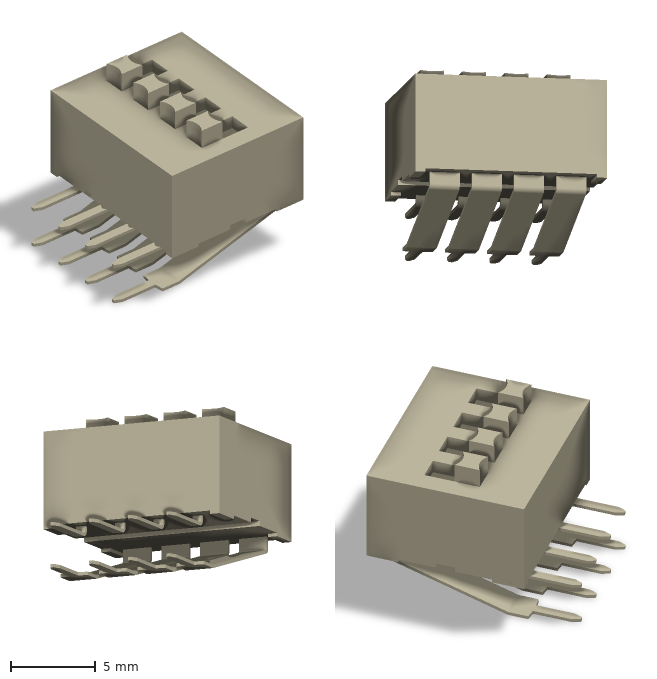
import cadquery as cq
import math

POSITIONS = 4
PITCH = 2.53

HOUSING_X = 11.52
HOUSING_Y = 9.9
HOUSING_Z = 5.88
FOOT_X = 0.6
FOOT_Y = 2.0
FOOT_HEIGHT = 0.2
CHANNEL_Y = 1.2
CHANNEL_DEPTH = 0.5

SLOT_X = 1.5
SLOT_Y = 3.48
SLOT_DEPTH = 0.85
ACTUATOR_X = 1.41
ACTUATOR_Y = 1.59
ACTUATOR_RISE = 1.19
ACTUATOR_HOLLOW = 0.25
ACTUATOR_GAP = 0.01

LEAD_THICKNESS = 0.2
LEAD_OVERHANG = 2.9
ROW_SPACING = 7.62
UPPER_BEND_RADIUS = 0.2
LOWER_BEND_RADIUS = 0.1
PIN_X = 0.6
TIP_X = 0.2
TIP_LENGTH = 0.5
UPPER_LEAD_DROP = 0.45
LOWER_LEAD_DROP = 2.97
LOWER_LEAD_SLOPE = math.radians(16.5)
LOWER_FLAT_LENGTH = 4.3
BLADE_X = 1.8
PIN_LENGTH = 2.95
SHOULDER_SLANT = 0.08

POSITION_XS = [(i - (POSITIONS - 1) / 2) * PITCH for i in range(POSITIONS)]
SLOT_FLOOR_Z = HOUSING_Z - SLOT_DEPTH
ACTUATOR_CENTER_Y = -SLOT_Y / 2 + ACTUATOR_GAP + ACTUATOR_Y / 2
LEAD_TOP_Z = FOOT_HEIGHT
LEAD_TIP_Y = -HOUSING_Y / 2 - LEAD_OVERHANG
FRONT_ROW_Y = -(ROW_SPACING - LEAD_THICKNESS) / 2
BACK_ROW_Y = (ROW_SPACING + LEAD_THICKNESS) / 2


def make_shell():
    """Block on four corner feet, with a channel across its underside and open slots in its top."""
    block = cq.Workplane("XY").box(HOUSING_X, HOUSING_Y, HOUSING_Z, centered=(True, True, False))
    gap_between_feet_x = (
        cq.Workplane("XY").rect(HOUSING_X - 2 * FOOT_X, HOUSING_Y).extrude(FOOT_HEIGHT)
    )
    gap_between_feet_y = (
        cq.Workplane("XY").rect(HOUSING_X, HOUSING_Y - 2 * FOOT_Y).extrude(FOOT_HEIGHT)
    )
    channel = cq.Workplane("XY").rect(HOUSING_X, CHANNEL_Y).extrude(CHANNEL_DEPTH)
    slots = (
        cq.Workplane("XY", origin=(0, 0, SLOT_FLOOR_Z))
        .pushPoints([(x, 0) for x in POSITION_XS])
        .rect(SLOT_X, SLOT_Y)
        .extrude(SLOT_DEPTH)
    )
    return block.cut(gap_between_feet_x).cut(gap_between_feet_y).cut(channel).cut(slots)


def make_actuator(x):
    """Upright block on the slot floor, hollowed by a shallow arc at its front and back."""
    half_x = ACTUATOR_X / 2
    half_y = ACTUATOR_Y / 2
    return (
        cq.Workplane("XY", origin=(x, ACTUATOR_CENTER_Y, SLOT_FLOOR_Z))
        .moveTo(-half_x, -half_y)
        .threePointArc((0, -half_y + ACTUATOR_HOLLOW), (half_x, -half_y))
        .lineTo(half_x, half_y)
        .threePointArc((0, half_y - ACTUATOR_HOLLOW), (-half_x, half_y))
        .close()
        .extrude(SLOT_DEPTH + ACTUATOR_RISE)
    )


def make_housing():
    housing = make_shell()
    for x in POSITION_XS:
        housing = housing.union(make_actuator(x))
    return housing


def make_strip(outer_path, inner_path, width, bend_radius):
    """Bent strip, centred on X = 0, between two (y, z) paths whose second points form the bend."""
    strip = (
        cq.Workplane("YZ", origin=(-width / 2, 0, 0))
        .polyline(outer_path + inner_path[::-1])
        .close()
        .extrude(width)
    )
    outer_bend = cq.selectors.NearestToPointSelector((0, *outer_path[1]))
    inner_bend = cq.selectors.NearestToPointSelector((0, *inner_path[1]))
    strip = strip.edges("|X").edges(outer_bend).fillet(bend_radius + LEAD_THICKNESS)
    return strip.edges("|X").edges(inner_bend).fillet(bend_radius)


def trim_to_plan(strip, half_plan):
    """Trim a strip to the plan whose right-hand half runs from its back to its tip."""
    mirrored_half = [(-x, y) for x, y in reversed(half_plan)]
    plan = (
        cq.Workplane("XY", origin=(0, 0, -LOWER_LEAD_DROP))
        .polyline(half_plan + mirrored_half)
        .close()
        .extrude(LOWER_LEAD_DROP + HOUSING_Z)
    )
    return strip.intersect(plan)


def pin_end_points():
    """Right-hand half of the tapered pin end."""
    return [(PIN_X / 2, LEAD_TIP_Y + TIP_LENGTH), (TIP_X / 2, LEAD_TIP_Y)]


def make_upper_lead():
    """Narrow lead that drops from the front row and turns straight out."""
    bottom_z = -UPPER_LEAD_DROP
    top_z = bottom_z + LEAD_THICKNESS
    inner_y = FRONT_ROW_Y - LEAD_THICKNESS
    outer_path = [(FRONT_ROW_Y, LEAD_TOP_Z), (FRONT_ROW_Y, bottom_z), (LEAD_TIP_Y, bottom_z)]
    inner_path = [(inner_y, LEAD_TOP_Z), (inner_y, top_z), (LEAD_TIP_Y, top_z)]
    strip = make_strip(outer_path, inner_path, PIN_X, UPPER_BEND_RADIUS)
    return trim_to_plan(strip, [(PIN_X / 2, FRONT_ROW_Y)] + pin_end_points())


def make_lower_lead():
    """Wide blade that drops from the back row, slopes down and levels out into a narrow pin."""
    bottom_z = -LOWER_LEAD_DROP
    top_z = bottom_z + LEAD_THICKNESS
    inner_y = BACK_ROW_Y - LEAD_THICKNESS
    slope = math.tan(LOWER_LEAD_SLOPE)
    outer_kink_y = LEAD_TIP_Y + LOWER_FLAT_LENGTH
    inner_kink_y = outer_kink_y - LEAD_THICKNESS * math.tan(LOWER_LEAD_SLOPE / 2)
    outer_path = [
        (BACK_ROW_Y, LEAD_TOP_Z),
        (BACK_ROW_Y, bottom_z + (BACK_ROW_Y - outer_kink_y) * slope),
        (outer_kink_y, bottom_z),
        (LEAD_TIP_Y, bottom_z),
    ]
    inner_path = [
        (inner_y, LEAD_TOP_Z),
        (inner_y, top_z + (inner_y - inner_kink_y) * slope),
        (inner_kink_y, top_z),
        (LEAD_TIP_Y, top_z),
    ]
    strip = make_strip(outer_path, inner_path, BLADE_X, LOWER_BEND_RADIUS)
    pin_root_y = LEAD_TIP_Y + PIN_LENGTH
    half_plan = [
        (BLADE_X / 2, BACK_ROW_Y),
        (BLADE_X / 2, pin_root_y + SHOULDER_SLANT),
        (PIN_X / 2, pin_root_y),
    ]
    return trim_to_plan(strip, half_plan + pin_end_points())


housing = make_housing()
upper_lead = make_upper_lead()
lower_lead = make_lower_lead()
upper_leads = [upper_lead.translate((x, 0, 0)) for x in POSITION_XS]
lower_leads = [lower_lead.translate((x, 0, 0)) for x in POSITION_XS]

result = cq.Compound.makeCompound(
    [housing.val()] + [lead.val() for lead in upper_leads + lower_leads]
)